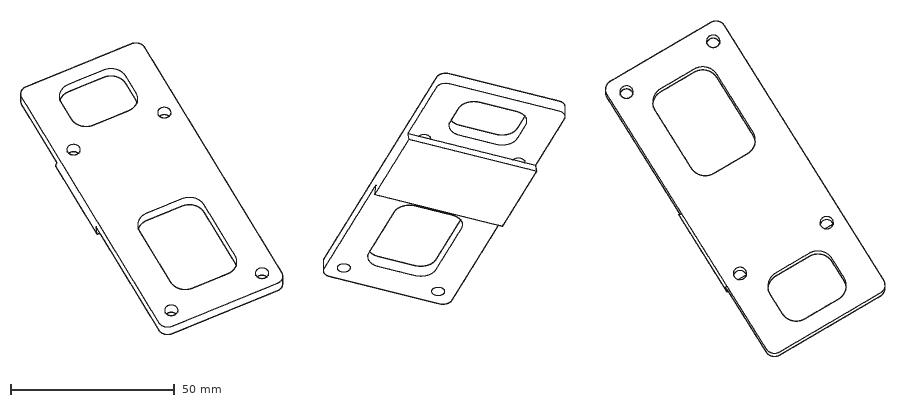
import cadquery as cq

length = 100.0
width = 42.0
plate_thickness = 4.0
corner_radius = 3.0

rail_height = 3.0
rail_center_x = -9.6
rail_top_width = 26.8
rail_bottom_width = 28.6

hole_diameter = 4.0
hole_center_x = 11.0
hole_spacing_x = 67.0
hole_spacing_y = 31.0

window_width = 22.0
window_radius = 5.0
window_margin = 5.0
small_window_length = 17.0
large_window_length = 31.3
large_window_end_margin = 10.0


def rounded_block(block_length, block_width, radius, center_x=0):
    """Plate-thick block with rounded vertical edges."""
    block = cq.Workplane("XY").center(center_x, 0).rect(block_length, block_width)
    return block.extrude(plate_thickness).edges("|Z").fillet(radius)


def dovetail_rail():
    """Rail that widens downward from the plate underside."""
    top_half = rail_top_width / 2
    bottom_half = rail_bottom_width / 2
    profile = [
        (rail_center_x - top_half, 0),
        (rail_center_x + top_half, 0),
        (rail_center_x + bottom_half, -rail_height),
        (rail_center_x - bottom_half, -rail_height),
    ]
    rail = cq.Workplane("XZ").polyline(profile).close()
    return rail.extrude(width / 2, both=True)


small_window_x = -length / 2 + window_margin + small_window_length / 2
large_window_x = length / 2 - large_window_end_margin - large_window_length / 2

plate = rounded_block(length, width, corner_radius)
plate = plate.cut(rounded_block(small_window_length, window_width, window_radius, small_window_x))
plate = plate.cut(rounded_block(large_window_length, window_width, window_radius, large_window_x))

screw_holes = (
    cq.Workplane("XY")
    .center(hole_center_x, 0)
    .rarray(hole_spacing_x, hole_spacing_y, 2, 2)
    .circle(hole_diameter / 2)
    .extrude(plate_thickness)
)
plate = plate.cut(screw_holes)

result = plate.union(dovetail_rail())